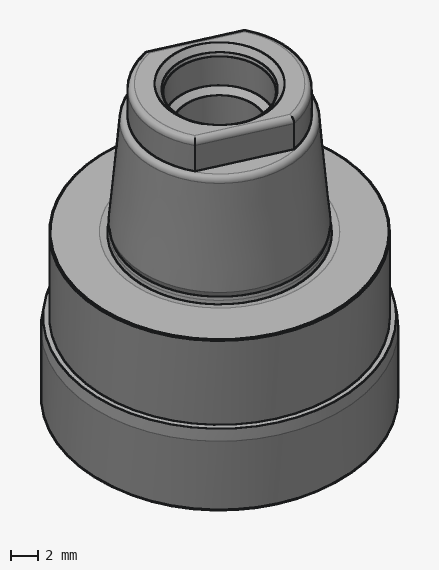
import cadquery as cq

total_height = 29.95
boss_base = 27.0
cone_base = 16.92
body_top = 16.0
collar_top = 8.0
collar_taper_base = 6.95

collar_diameter = 26.03
collar_radius = collar_diameter / 2
collar_top_radius = 12.85
body_radius = 12.4
cone_base_radius = 8.1
cone_top_radius = 7.25
neck_radius = 8.0
boss_radius = 6.7
flat_distance = 5.5

edge_size = 0.5
body_edge_chamfer = 0.1
neck_edge_height = 0.48
groove_outer_radius = 8.75
groove_inner_radius = 8.18
groove_depth = 0.12
flare_radius = 8.1
flare_height = 0.18

mouth_radius = 4.73
lead_radius = 4.22
bore_radius = 4.1
middle_radius = 3.47
through_radius = 2.52
lead_length = 0.3
bore_floor = 26.42
floor_drop = 0.42
middle_floor = 17.97

mouth_base = total_height - (mouth_radius - lead_radius)
lead_base = mouth_base - lead_length
middle_top = bore_floor - floor_drop
through_top = middle_floor - (middle_radius - through_radius)


def revolve_profile(points):
    """Turn a closed (radius, height) outline about the Z axis."""
    return cq.Workplane("XZ").polyline(points).close().revolve(360, (0, 0), (0, 1))


def make_base():
    """Collar and body, with the shallow sloping groove at the foot of the neck."""
    return revolve_profile([
        (0, 0),
        (collar_radius - edge_size, 0),
        (collar_radius, edge_size),
        (collar_radius, collar_taper_base),
        (collar_top_radius, collar_top),
        (body_radius, collar_top),
        (body_radius, body_top - body_edge_chamfer),
        (body_radius - body_edge_chamfer, body_top),
        (groove_outer_radius, body_top),
        (groove_inner_radius, body_top - groove_depth),
        (0, body_top - groove_depth),
    ])


def make_cone():
    """Slightly flared neck and tapered cone with a rounded top edge."""
    cone = revolve_profile([
        (0, body_top - groove_depth),
        (groove_inner_radius, body_top - groove_depth),
        (flare_radius, body_top + flare_height),
        (neck_radius, cone_base - neck_edge_height),
        (cone_base_radius, cone_base),
        (cone_top_radius, boss_base),
        (0, boss_base),
    ])
    return cone.faces(">Z").edges().fillet(edge_size)


def make_boss():
    """Round boss with two wrench flats facing -X and +X and a rounded top."""
    height = total_height - boss_base
    boss = cq.Workplane("XY").workplane(offset=boss_base).circle(boss_radius).extrude(height)
    slab = cq.Workplane("XY").workplane(offset=boss_base)
    slab = slab.rect(2 * flat_distance, 2 * boss_radius).extrude(height)
    return boss.intersect(slab).faces(">Z").edges().fillet(edge_size)


def make_bore():
    """Stepped bore running right through the part."""
    return revolve_profile([
        (0, 0),
        (through_radius, 0),
        (through_radius, through_top),
        (middle_radius, middle_floor),
        (middle_radius, middle_top),
        (bore_radius, bore_floor),
        (bore_radius, lead_base),
        (lead_radius, mouth_base),
        (mouth_radius, total_height),
        (0, total_height),
    ])


result = make_base().union(make_cone()).union(make_boss()).cut(make_bore())